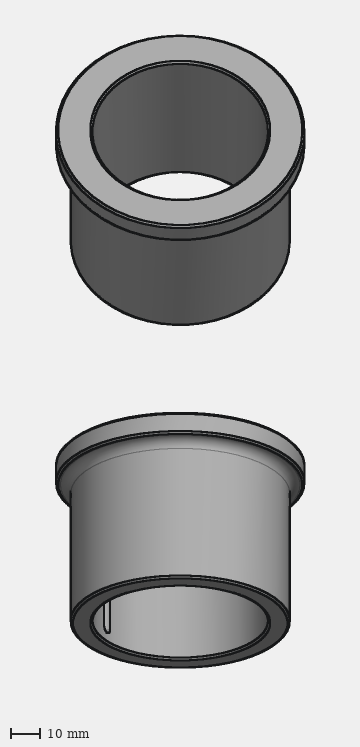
import cadquery as cq

flange_diameter = 85.0
body_diameter = 75.0
bore_diameter = 60.0
height = 60.0
flange_thickness = 8.0
edge_chamfer = 0.8
neck_fillet = 3.5
groove_radius = 1.9
groove_end_gap = 4.0

flange_radius = flange_diameter / 2
body_radius = body_diameter / 2
bore_radius = bore_diameter / 2
flange_bottom = height - flange_thickness


def make_bushing():
    """Revolve the flanged sleeve, with chamfered rims and a filleted neck."""
    fillet_mid = neck_fillet * (1 - 0.5 ** 0.5)
    profile = (
        cq.Workplane("XZ")
        .moveTo(bore_radius + edge_chamfer, 0)
        .lineTo(body_radius - edge_chamfer, 0)
        .lineTo(body_radius, edge_chamfer)
        .lineTo(body_radius, flange_bottom - neck_fillet)
        .threePointArc(
            (body_radius + fillet_mid, flange_bottom - fillet_mid),
            (body_radius + neck_fillet, flange_bottom),
        )
        .lineTo(flange_radius - edge_chamfer, flange_bottom)
        .lineTo(flange_radius, flange_bottom + edge_chamfer)
        .lineTo(flange_radius, height - edge_chamfer)
        .lineTo(flange_radius - edge_chamfer, height)
        .lineTo(bore_radius + edge_chamfer, height)
        .lineTo(bore_radius, height - edge_chamfer)
        .lineTo(bore_radius, edge_chamfer)
        .close()
    )
    return profile.revolve(360, (0, 0, 0), (0, 1, 0))


def make_groove_cutter():
    """Round-ended rod on the +X bore wall, stopping short of both end faces."""
    lower_center = groove_end_gap + groove_radius
    rod_length = height - 2 * lower_center
    rod = (
        cq.Workplane("XY", origin=(bore_radius, 0, lower_center))
        .circle(groove_radius)
        .extrude(rod_length)
    )
    lower_end = cq.Workplane("XY", origin=(bore_radius, 0, lower_center)).sphere(groove_radius)
    upper_end = lower_end.translate((0, 0, rod_length))
    return rod.union(lower_end).union(upper_end)


result = make_bushing().cut(make_groove_cutter())